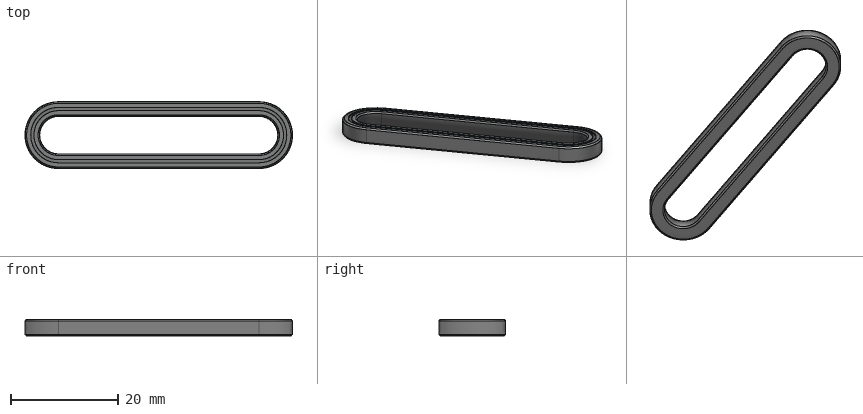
import cadquery as cq

LENGTH = 50.0
WIDTH = 12.5
HEIGHT = 3.1
WALL = 2.75
EDGE_CHAMFER = 0.3

GROOVE_WIDTH = 0.6
GROOVE_DEPTH = 0.2


def stadium(inset, height):
    """Solid stadium standing on Z = 0, its outline moved inward by inset."""
    return (
        cq.Workplane("XY")
        .slot2D(LENGTH - 2 * inset, WIDTH - 2 * inset)
        .extrude(height)
    )


def stadium_ring(outer_inset, inner_inset, height):
    """Ring between two stadium outlines that share their end centres."""
    return stadium(outer_inset, height).cut(stadium(inner_inset, height))


ring = stadium_ring(0, WALL, HEIGHT)
ring = ring.faces("<Z or >Z").chamfer(EDGE_CHAMFER)

groove_inset = (WALL - GROOVE_WIDTH) / 2
groove = stadium_ring(groove_inset, groove_inset + GROOVE_WIDTH, GROOVE_DEPTH)
groove = groove.translate((0, 0, HEIGHT - GROOVE_DEPTH))

result = ring.cut(groove)